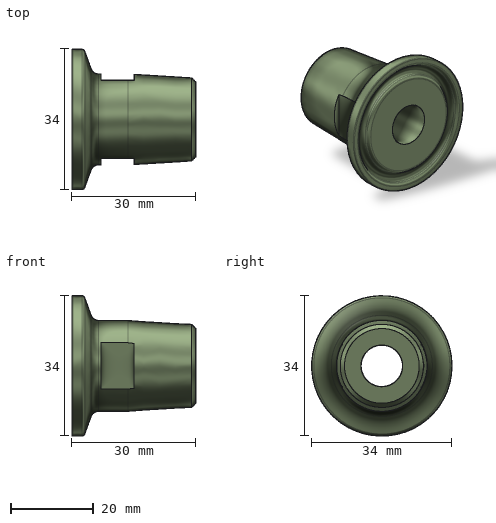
import cadquery as cq
import math

flange_radius = 17.0
total_length = 30.0
bore_radius = 5.0

rim_edge_fillet = 0.2
rim_end = 2.38
rim_fillet = 0.78
neck_fillet = 1.87
flange_slope = math.radians(70)

body_radius = 11.0
taper_start = 13.55
tip_radius = 10.05
tip_chamfer = 1.02

flat_start = 7.05
flat_length = 8.02
flat_distance = 9.5
cutter_margin = 0.35

groove_radius = 13.77
groove_half_width = 2.05
groove_lip_fillet = 0.8
groove_bottom_radius = 1.2
groove_wall_angle = math.radians(70)


def arc_point(center, radius, angle):
    return (center[0] + radius * math.cos(angle), center[1] + radius * math.sin(angle))


def revolve_about_x(profile):
    return profile.close().revolve(360, (0, 0, 0), (1, 0, 0))


def make_body():
    normal = math.pi / 2 - flange_slope
    rim_center = (rim_end, flange_radius - rim_fillet)
    slope_top = arc_point(rim_center, rim_fillet, normal)
    neck_center_radius = body_radius + neck_fillet
    slope_bottom_radius = neck_center_radius - neck_fillet * math.sin(normal)
    slope_bottom_x = slope_top[0] + (slope_top[1] - slope_bottom_radius) / math.tan(flange_slope)
    neck_center = (slope_bottom_x + neck_fillet * math.cos(normal), neck_center_radius)
    arc_middle = (normal + math.pi / 2) / 2
    edge_center = (rim_edge_fillet, flange_radius - rim_edge_fillet)
    profile = (
        cq.Workplane("XY")
        .moveTo(0, bore_radius)
        .lineTo(0, edge_center[1])
        .threePointArc(
            arc_point(edge_center, rim_edge_fillet, math.radians(135)),
            (rim_edge_fillet, flange_radius),
        )
        .lineTo(rim_end, flange_radius)
        .threePointArc(arc_point(rim_center, rim_fillet, arc_middle), slope_top)
        .lineTo(slope_bottom_x, slope_bottom_radius)
        .threePointArc(
            arc_point(neck_center, neck_fillet, arc_middle + math.pi),
            (neck_center[0], body_radius),
        )
        .lineTo(taper_start, body_radius)
        .lineTo(total_length - tip_chamfer, tip_radius)
        .lineTo(total_length, tip_radius - tip_chamfer)
        .lineTo(total_length, bore_radius)
    )
    return revolve_about_x(profile)


def make_groove():
    sine = math.sin(groove_wall_angle)
    cosine = math.cos(groove_wall_angle)
    half_angle = groove_wall_angle / 2
    lip_offset = groove_half_width - groove_lip_fillet * sine
    lip_depth = groove_lip_fillet * (1 - cosine)
    lip_mid_offset = groove_half_width - groove_lip_fillet * math.sin(half_angle)
    lip_mid_depth = groove_lip_fillet * (1 - math.cos(half_angle))
    bottom_offset = groove_bottom_radius * sine
    wall_end_depth = lip_depth + (lip_offset - bottom_offset) * math.tan(groove_wall_angle)
    groove_depth = wall_end_depth + groove_bottom_radius * (1 - cosine)
    inner = groove_radius - groove_half_width
    outer = groove_radius + groove_half_width
    profile = (
        cq.Workplane("XY")
        .moveTo(0, inner)
        .threePointArc(
            (lip_mid_depth, groove_radius - lip_mid_offset),
            (lip_depth, groove_radius - lip_offset),
        )
        .lineTo(wall_end_depth, groove_radius - bottom_offset)
        .threePointArc((groove_depth, groove_radius), (wall_end_depth, groove_radius + bottom_offset))
        .lineTo(lip_depth, groove_radius + lip_offset)
        .threePointArc((lip_mid_depth, groove_radius + lip_mid_offset), (0, outer))
    )
    return revolve_about_x(profile)


def make_flat_cutter(side):
    cutter_depth = body_radius - flat_distance + cutter_margin
    return cq.Workplane("XY").box(flat_length, cutter_depth, 2 * body_radius).translate(
        (flat_start + flat_length / 2, side * (flat_distance + cutter_depth / 2), 0)
    )


result = make_body().cut(make_groove())
for side in (1, -1):
    result = result.cut(make_flat_cutter(side))